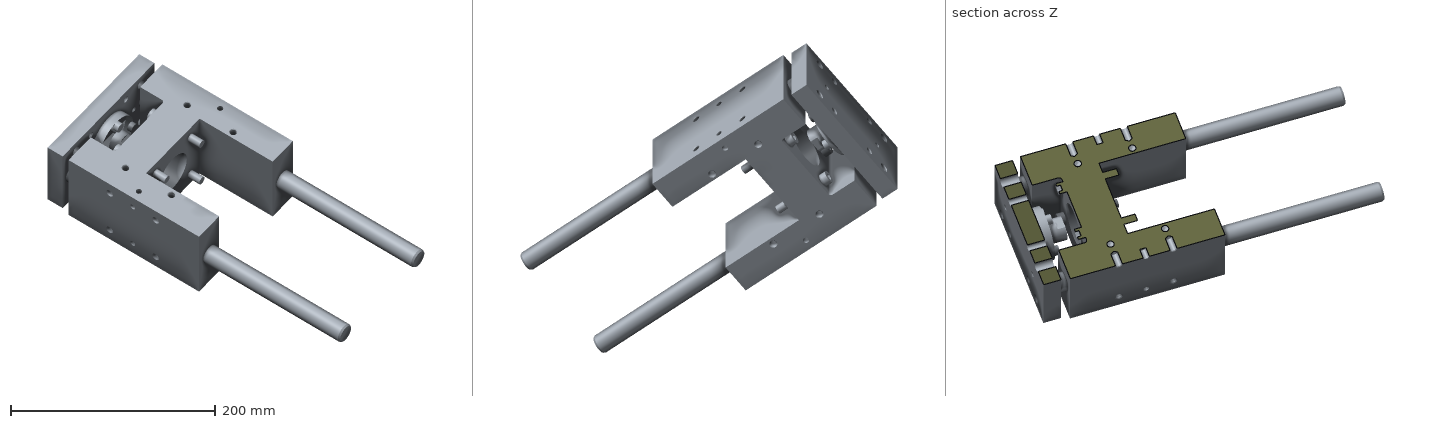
import cadquery as cq
import math

TOTAL_LENGTH = 355.0
PLATE_LENGTH = 18.5
PLATE_WIDTH = 148.5
PLATE_HEIGHT = 80.0

HOUSING_START = 27.0
HOUSING_LENGTH = 160.5
HOUSING_WIDTH = 152.0
HOUSING_HEIGHT = 85.0

WEB_START = 56.8
WEB_END = 97.5
FRONT_SLOT_WIDTH = 80.0
REAR_SLOT_WIDTH = 86.5
SLOT_FILLET = 3.0
WEB_BORE_DIAMETER = 45.0

ROD_DIAMETER = 20.0
ROD_SPACING = 118.5
ROD_CHAMFER = 2.0
ROD_CHAMFER_INSET = 1.0

PATTERN_PITCH = 56.5
DOWEL_DIAMETER = 6.0
DOWEL_DEPTH = 10.5
TAP_DIAMETER = 6.7
COUNTERSINK_DIAMETER = 8.0
COUNTERSINK_ANGLE = 90.0
TAP_DEPTH = 15.0
TAP_TIP_ANGLE = 118.0
TOP_TAP_SPACING_Y = 99.8
TOP_DOWEL_SPACING_Y = 131.7
PATTERN_CENTRE_X = 105.8

PLATE_BOLT_DIAMETER = 10.0
PLATE_BOLT_SPACING_Y = 104.7
PLATE_DOWEL_SPACING_Y = 82.5

SCREW_HEAD_DIAMETER = 13.0
SCREW_HEAD_LENGTH = 7.5
SCREW_SHANK_DIAMETER = 8.5
SCREW_SHANK_REACH = 14.2
SOCKET_SIDES = 6
SOCKET_WIDTH = 6.0
SOCKET_DEPTH = 4.0

FLANGE_DIAMETER = 55.0
FLANGE_LENGTH = 9.5
BOSS_DIAMETER = 24.0
BOSS_LENGTH = 18.0
BOSS_FLAT_LENGTH = 8.0
BOSS_ACROSS_FLATS = 21.0
FLANGE_SCREW_DIAMETER = 10.0
FLANGE_SCREW_LENGTH = 5.5
FLANGE_SCREW_COUNT = 4
FLANGE_SCREW_CIRCLE = FLANGE_DIAMETER - FLANGE_SCREW_DIAMETER

ROD_CENTRES = [(side * ROD_SPACING / 2, 0) for side in (-1, 1)]
X_AXIS = cq.Vector(1, 0, 0)
FULL_TURN = 360
HOUSING_END = HOUSING_START + HOUSING_LENGTH
FLANGE_END = PLATE_LENGTH + FLANGE_LENGTH
BOSS_END = FLANGE_END + BOSS_LENGTH


def rectangle_corners(spacing_1, spacing_2):
    """Four points at the corners of a centred rectangle."""
    return [(a * spacing_1 / 2, b * spacing_2 / 2) for a in (-1, 1) for b in (-1, 1)]


def block(start, length, width, height):
    """Box from x = start, centred on Y and Z."""
    centred_box = cq.Workplane("XY").box(length, width, height, centered=(False, True, True))
    return centred_box.translate((start, 0, 0))


def x_cylinders(diameter, start, end, points):
    """Cylinders along X, centred on the given (y, z) points."""
    return (
        cq.Workplane("YZ", origin=(start, 0, 0))
        .pushPoints(points)
        .circle(diameter / 2)
        .extrude(end - start)
    )


def tapped_hole(mouth, direction):
    """Cutter for a countersunk blind hole with a conical tip."""
    radius = TAP_DIAMETER / 2
    mouth_radius = COUNTERSINK_DIAMETER / 2
    countersink_depth = (mouth_radius - radius) / math.tan(math.radians(COUNTERSINK_ANGLE / 2))
    tip_length = radius / math.tan(math.radians(TAP_TIP_ANGLE / 2))
    profile = [
        (0, 0),
        (mouth_radius, 0),
        (radius, countersink_depth),
        (radius, TAP_DEPTH),
        (0, TAP_DEPTH + tip_length),
    ]
    plane = cq.Plane(origin=mouth, xDir=X_AXIS, normal=direction.cross(X_AXIS) * -1)
    return cq.Workplane(plane).polyline(profile).close().revolve(FULL_TURN, (0, 0), (0, 1)).val()


def dowel_hole(mouth, direction):
    """Cutter for a plain blind hole."""
    return cq.Solid.makeCylinder(DOWEL_DIAMETER / 2, DOWEL_DEPTH, mouth, direction)


def housing_mount_holes():
    """Cutters for the tapped and dowel holes in the top, bottom and both sides."""
    cutters = []
    for face in (-1, 1):
        side_y = face * HOUSING_WIDTH / 2
        top_z = face * HOUSING_HEIGHT / 2
        into_side = cq.Vector(0, -face, 0)
        into_top = cq.Vector(0, 0, -face)
        for row in (-0.5, 0.5):
            for column in (-0.5, 0.5):
                tap_x = PATTERN_CENTRE_X + column * PATTERN_PITCH
                cutters.append(tapped_hole(cq.Vector(tap_x, side_y, row * PATTERN_PITCH), into_side))
                cutters.append(tapped_hole(cq.Vector(tap_x, row * TOP_TAP_SPACING_Y, top_z), into_top))
            cutters.append(dowel_hole(cq.Vector(PATTERN_CENTRE_X, side_y, row * PATTERN_PITCH), into_side))
            cutters.append(
                dowel_hole(cq.Vector(PATTERN_CENTRE_X, row * TOP_DOWEL_SPACING_Y, top_z), into_top)
            )
    return cutters


def make_housing():
    """H-shaped guide housing with the socket screws in its web."""
    body = block(HOUSING_START, HOUSING_LENGTH, HOUSING_WIDTH, HOUSING_HEIGHT)

    front_slot = block(HOUSING_START, WEB_START - HOUSING_START, FRONT_SLOT_WIDTH, HOUSING_HEIGHT)
    front_slot = front_slot.faces(">X").edges("|Z").fillet(SLOT_FILLET)
    rear_slot = block(WEB_END, HOUSING_END - WEB_END, REAR_SLOT_WIDTH, HOUSING_HEIGHT)
    body = body.cut(front_slot).cut(rear_slot)

    body = body.cut(x_cylinders(WEB_BORE_DIAMETER, WEB_START, WEB_END, [(0, 0)]))
    body = body.cut(x_cylinders(ROD_DIAMETER, HOUSING_START, HOUSING_END, ROD_CENTRES))
    for cutter in housing_mount_holes():
        body = body.cut(cq.Workplane(cutter))

    screw_centres = rectangle_corners(PATTERN_PITCH, PATTERN_PITCH)
    head_start = WEB_START - SCREW_HEAD_LENGTH
    heads = x_cylinders(SCREW_HEAD_DIAMETER, head_start, WEB_START, screw_centres)
    shanks = x_cylinders(SCREW_SHANK_DIAMETER, WEB_END, WEB_END + SCREW_SHANK_REACH, screw_centres)
    sockets = (
        cq.Workplane("YZ", origin=(head_start, 0, 0))
        .pushPoints(screw_centres)
        .polygon(SOCKET_SIDES, SOCKET_WIDTH, circumscribed=True)
        .extrude(SOCKET_DEPTH)
    )
    return body.union(heads).union(shanks).cut(sockets)


def make_plate():
    """Front plate with its bolt, tapped and dowel holes."""
    plate = block(0, PLATE_LENGTH, PLATE_WIDTH, PLATE_HEIGHT)
    bolts = rectangle_corners(PLATE_BOLT_SPACING_Y, PATTERN_PITCH)
    taps = rectangle_corners(PATTERN_PITCH, PATTERN_PITCH)
    dowels = [(side * PLATE_DOWEL_SPACING_Y / 2, 0) for side in (-1, 1)]
    plate = plate.cut(x_cylinders(PLATE_BOLT_DIAMETER, 0, PLATE_LENGTH, bolts))
    plate = plate.cut(x_cylinders(DOWEL_DIAMETER, 0, PLATE_LENGTH, dowels))
    return (
        plate.faces("<X")
        .workplane(origin=(0, 0, 0))
        .pushPoints(taps)
        .cskHole(TAP_DIAMETER, COUNTERSINK_DIAMETER, COUNTERSINK_ANGLE)
    )


def make_coupling():
    """Round flange with its screw heads and a boss with wrench flats."""
    flange = x_cylinders(FLANGE_DIAMETER, PLATE_LENGTH, FLANGE_END, [(0, 0)])
    boss = x_cylinders(BOSS_DIAMETER, FLANGE_END, BOSS_END, [(0, 0)])
    for side in (-1, 1):
        flat_cut = block(BOSS_END - BOSS_FLAT_LENGTH, BOSS_FLAT_LENGTH, BOSS_DIAMETER, BOSS_DIAMETER)
        boss = boss.cut(flat_cut.translate((0, 0, side * (BOSS_ACROSS_FLATS + BOSS_DIAMETER) / 2)))
    heads = (
        cq.Workplane("YZ", origin=(FLANGE_END, 0, 0))
        .polarArray(FLANGE_SCREW_CIRCLE / 2, 0, FULL_TURN, FLANGE_SCREW_COUNT)
        .circle(FLANGE_SCREW_DIAMETER / 2)
        .extrude(FLANGE_SCREW_LENGTH)
    )
    return flange.union(boss).union(heads)


def make_carriage():
    """Plate, coupling and the two guide rods, which move as one body."""
    rods = x_cylinders(ROD_DIAMETER, PLATE_LENGTH, TOTAL_LENGTH, ROD_CENTRES)
    rods = rods.faces(">X").chamfer(ROD_CHAMFER, ROD_CHAMFER_INSET)
    return make_plate().union(make_coupling()).union(rods)


housing = make_housing()
carriage = make_carriage()

result = cq.Compound.makeCompound([housing.val(), carriage.val()])